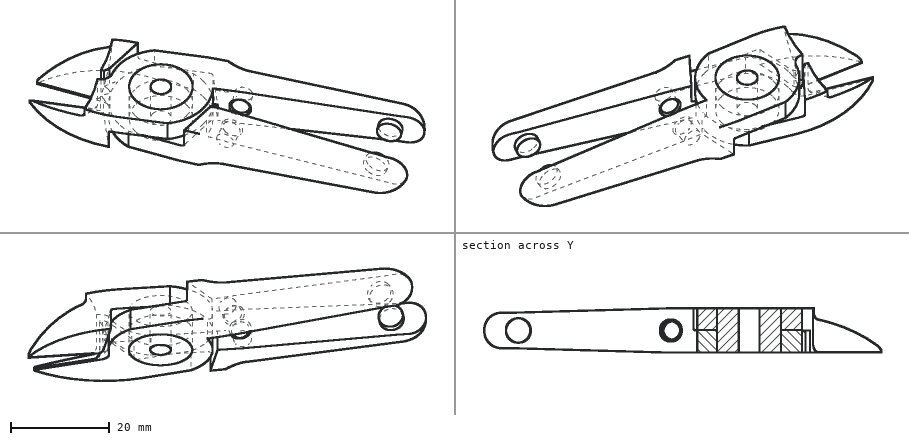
import cadquery as cq
import math


overall_length = 80.5
half_thickness = 4.5
clearance = 2.4

pivot_radius = 6.45
pivot_bore_radius = 2.1

hub_radius = 10.55
waist_half_width = 10.1
shoulder_half_width = 10.7
jaw_shoulder_x = 6.3
grip_shoulder_x = 7.0
hub_corner_x = 4.1
throat_end_y = 0.7
throat_mid = (-11.3, -0.7)

slot_outer_x = 8.0
slot_outer_y = 10.6
slot_inner_x = 11.4
slot_inner_y = 2.2
slot_fillet = 0.5

tip_x = -26.8
tip_inner_y = 2.6
tip_outer_y = 2.9
jaw_arc_mid = (-18.35, 8.8)
jaw_root_x = -12.3
jaw_root_y = 1.3
bevel_slope = 0.7
bevel_edge_z = -3.9
land_slope = 1.2
upper_land_width = 1.05
lower_land_width = 0.5
step_inner = (-13.2, 0)
step_mid = (-12.7, 5.2)
step_outer = (-13.7, 12.6)
step_fillet = 1.0

grip_start_x = 11.1
grip_round_x = 16.4
grip_inner_x = 10.8
grip_inner_y = 2.5
grip_inner_slope = 0.091
grip_outer_end_y = 11.6
grip_end_half_thickness = 3.6
round_radius = 3.0
round_end_radius = 3.55
smallest_round = 0.04
runout_steps = 5
cap_radius = 5.95

pad_x = 46.7
pad_radius = 2.5
pad_height = 1.45
seat_x = 15.9
seat_radius = 1.85
seat_chamfer = 0.4
seat_depth = 4.0


def inner_side_y(x):
    """The straight inner side of the grip."""
    return grip_inner_y + grip_inner_slope * (x - grip_inner_x)


cap_axis_y = grip_outer_end_y - cap_radius
grip_tip_x = tip_x + overall_length
grip_end_x = grip_tip_x - math.sqrt(cap_radius**2 - (inner_side_y(grip_tip_x) - cap_axis_y) ** 2)


def outer_side_y(x):
    """The straight outer side of the grip."""
    along = (x - grip_shoulder_x) / (grip_end_x - grip_shoulder_x)
    return shoulder_half_width + along * (grip_outer_end_y - shoulder_half_width)


def hub_x(y):
    """Distance of the hub circle from the YZ plane at a given y."""
    return math.sqrt(hub_radius**2 - y**2)


def jaw_and_hub():
    """Jaw and hub of the upper lever, at full thickness."""
    narrowing = (shoulder_half_width - waist_half_width) / grip_shoulder_x
    corner_y = waist_half_width - narrowing * hub_corner_x
    hub_inner_y = inner_side_y(hub_x(grip_inner_y))
    diagonal = hub_radius * math.sqrt(0.5)
    return (
        cq.Workplane("XY", origin=(0, 0, -half_thickness))
        .moveTo(tip_x, -tip_inner_y)
        .lineTo(jaw_root_x, -jaw_root_y)
        .threePointArc(throat_mid, (-hub_x(throat_end_y), throat_end_y))
        .threePointArc((-diagonal, diagonal), (-hub_corner_x, corner_y))
        .lineTo(grip_shoulder_x, shoulder_half_width)
        .lineTo(grip_start_x, outer_side_y(grip_start_x))
        .lineTo(grip_start_x, inner_side_y(grip_start_x))
        .lineTo(hub_x(hub_inner_y), hub_inner_y)
        .threePointArc((diagonal, -diagonal), (hub_corner_x, -corner_y))
        .lineTo(-jaw_shoulder_x, -shoulder_half_width)
        .threePointArc((jaw_arc_mid[0], -jaw_arc_mid[1]), (tip_x, -tip_outer_y))
        .close()
        .extrude(2 * half_thickness)
    )


def grip_section(work, y_inner, y_outer, half_height, radius):
    """D-shaped section in a YZ plane, rounded on its outer corners."""
    y_round = y_outer - radius
    z_round = half_height - radius
    bulge = radius * math.sqrt(0.5)
    return (
        work.moveTo(y_inner, -half_height)
        .lineTo(y_round, -half_height)
        .threePointArc((y_round + bulge, -z_round - bulge), (y_outer, -z_round))
        .lineTo(y_outer, z_round)
        .threePointArc((y_round + bulge, z_round + bulge), (y_round, half_height))
        .lineTo(y_inner, half_height)
        .close()
    )


def grip_loft(stations, ruled):
    """Loft through (x, half height, round radius) stations."""
    work = cq.Workplane("YZ")
    last_x = 0
    for x, half_height, radius in stations:
        work = work.workplane(offset=x - last_x)
        work = grip_section(work, inner_side_y(x), outer_side_y(x), half_height, radius)
        last_x = x
    return work.loft(ruled=ruled)


def grip_cap():
    """Rounded end: the end section turned about an upright axis and trimmed to the inner side."""
    section = grip_section(
        cq.Workplane("YZ", origin=(grip_end_x, 0, 0)),
        cap_axis_y,
        grip_outer_end_y,
        grip_end_half_thickness,
        round_end_radius,
    )
    cap = section.revolve(90, (cap_axis_y, 0), (cap_axis_y, -1))
    near_x = grip_end_x - clearance
    far_x = grip_tip_x + clearance
    beyond_inner_side = (
        cq.Workplane("XY", origin=(0, 0, -half_thickness))
        .moveTo(near_x, inner_side_y(near_x))
        .lineTo(far_x, inner_side_y(far_x))
        .lineTo(far_x, 0)
        .lineTo(near_x, 0)
        .close()
        .extrude(2 * half_thickness)
    )
    return cap.cut(beyond_inner_side)


def inner_face(x, into_grip):
    """Workplane square to the inner side of the grip, centred on its mid height."""
    inward = cq.Vector(-grip_inner_slope, 1, 0)
    normal = inward if into_grip else -inward
    return cq.Workplane(cq.Plane(origin=(x, inner_side_y(x), 0), xDir=(0, 0, 1), normal=normal))


def stop_pad():
    """Round pad standing square on the inner side of the grip."""
    return inner_face(pad_x, into_grip=False).circle(pad_radius).extrude(pad_height)


def spring_seat():
    """Blind countersunk hole square to the inner side of the grip, to be removed from it."""
    mouth = inner_face(seat_x, into_grip=True)
    countersink = mouth.circle(seat_radius + seat_chamfer).extrude(seat_chamfer, taper=45)
    return mouth.circle(seat_radius).extrude(seat_depth).union(countersink)


def grip():
    """Grip on +Y, whose rounding fades out in a parabola towards the hub."""
    runout = []
    for step in range(runout_steps + 1):
        along = step / runout_steps
        x = grip_start_x + along * (grip_round_x - grip_start_x)
        radius = smallest_round + (round_radius - smallest_round) * (1 - (1 - along) ** 2)
        runout.append((x, half_thickness, radius))
    taper = [runout[-1], (grip_end_x, grip_end_half_thickness, round_end_radius)]
    return (
        grip_loft(runout, ruled=False)
        .union(grip_loft(taper, ruled=True))
        .union(grip_cap())
        .union(stop_pad())
        .cut(spring_seat())
    )


def hub_slot():
    """Space below z = 0 for the other lever's hub, with rounded corners along both walls."""
    lean = (slot_inner_x - slot_outer_x) / (slot_outer_y - slot_inner_y)
    far_y = slot_outer_y + clearance
    far_x = slot_outer_x - lean * clearance
    middle_x = slot_inner_x + lean * slot_inner_y
    slot = (
        cq.Workplane("XY")
        .moveTo(-far_x, -far_y)
        .lineTo(-slot_inner_x, -slot_inner_y)
        .lineTo(jaw_root_x, -jaw_root_y)
        .lineTo(jaw_root_x, far_y)
        .lineTo(far_x, far_y)
        .lineTo(middle_x, 0)
        .lineTo(middle_x, -far_y)
        .close()
        .extrude(-half_thickness - clearance)
    )
    wall_x = (slot_outer_x + slot_inner_x) / 2
    wall_y = (slot_outer_y + slot_inner_y) / 2
    for side in (-1, 1):
        wall_top = cq.selectors.NearestToPointSelector((side * wall_x, side * wall_y, 0))
        slot = slot.edges(wall_top).fillet(slot_fillet)
    return slot


def bevel_prism(land_width):
    """Everything above the bevel and land of the +Y jaw, along its cutting edge."""
    along_edge = cq.Vector(jaw_root_x - tip_x, jaw_root_y - tip_inner_y, 0).normalized()
    across = cq.Vector(-along_edge.y, along_edge.x, 0)
    start = cq.Vector(tip_x, tip_inner_y, 0) - along_edge * clearance
    top = half_thickness + clearance
    far = step_outer[1] + clearance
    land_top_z = bevel_edge_z + bevel_slope * land_width
    land_low_z = land_top_z - land_slope * (land_width + clearance)
    return (
        cq.Workplane(cq.Plane(origin=start, xDir=across, normal=along_edge))
        .moveTo(-clearance, land_low_z)
        .lineTo(land_width, land_top_z)
        .lineTo(far, bevel_edge_z + bevel_slope * far)
        .lineTo(far, top)
        .lineTo(-clearance, top)
        .close()
        .extrude(jaw_root_x - tip_x + 2 * clearance)
    )


def bevel_cutter(land_width):
    """Material above the bevel of the +Y jaw, ending in the filleted step to the jaw top."""
    outer_x = tip_x - clearance
    up_to_step = (
        cq.Workplane("XY")
        .moveTo(outer_x, step_inner[1])
        .lineTo(*step_inner)
        .threePointArc(step_mid, step_outer)
        .lineTo(outer_x, step_outer[1])
        .close()
        .extrude(2 * half_thickness, both=True)
    )
    cutter = bevel_prism(land_width).intersect(up_to_step)
    step_face = cq.selectors.NearestToPointSelector((*step_mid, 0))
    return cutter.faces(step_face).edges("not (|Z or >Z)").fillet(step_fillet)


def lever_blank():
    """Upper lever before its jaw is bevelled."""
    pivot_hole = cq.Workplane("XY").circle(pivot_radius).extrude(half_thickness, both=True)
    return jaw_and_hub().union(grip()).cut(hub_slot()).cut(pivot_hole)


def upper_lever():
    return lever_blank().cut(bevel_cutter(upper_land_width).mirror("XZ"))


def lower_lever():
    turned_over = lever_blank().rotate((0, 0, 0), (1, 0, 0), 180)
    return turned_over.cut(bevel_cutter(lower_land_width))


def pivot_bush():
    return (
        cq.Workplane("XY")
        .circle(pivot_radius)
        .circle(pivot_bore_radius)
        .extrude(half_thickness, both=True)
    )


upper = upper_lever()
lower = lower_lever()
pivot = pivot_bush()

bodies = [upper, lower, pivot]
result = cq.Compound.makeCompound([body.solids().val() for body in bodies])